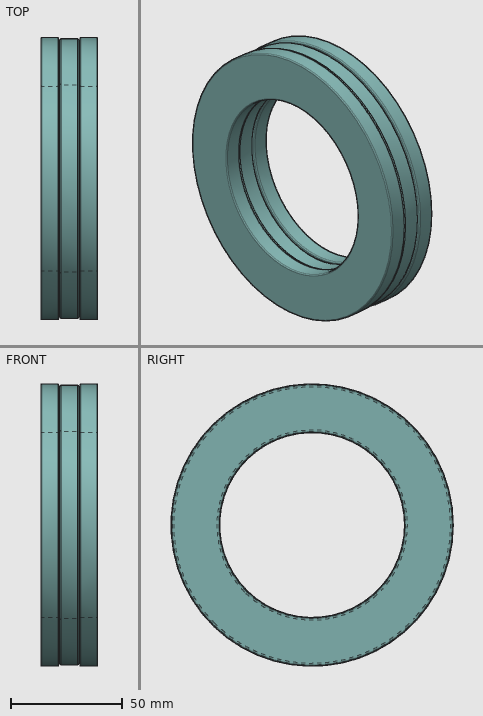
import cadquery as cq

bearing_width = 25.4
raceway_gap = 9.525
washer_width = (bearing_width - raceway_gap) / 2

washer_outer_diameter = 126.206
washer_bore = 82.55
washer_edge_radius = 0.508

cage_setback = 0.508
cage_outer_diameter = washer_outer_diameter - 2 * cage_setback
cage_bore = washer_bore + 2 * cage_setback
cage_clearance = 0.254
cage_width = raceway_gap - 2 * cage_clearance
cage_edge_chamfer = 0.762


def plain_ring(center_x, outer_diameter, bore, width):
    """Sharp-edged ring around the X axis, centred at center_x."""
    return (
        cq.Workplane("YZ", origin=(center_x - width / 2, 0, 0))
        .circle(outer_diameter / 2)
        .circle(bore / 2)
        .extrude(width)
    )


def make_washer(side):
    """Washer with rounded edges at the -X end (side = -1) or the +X end (side = 1)."""
    center_x = side * (bearing_width - washer_width) / 2
    ring = plain_ring(center_x, washer_outer_diameter, washer_bore, washer_width)
    return ring.edges("%CIRCLE").fillet(washer_edge_radius).solids()


def make_cage():
    """Cage ring with chamfered edges, centred between the washers."""
    ring = plain_ring(0, cage_outer_diameter, cage_bore, cage_width)
    return ring.edges("%CIRCLE").chamfer(cage_edge_chamfer).solids()


washers = [make_washer(side) for side in (-1, 1)]
cage = make_cage()

result = cq.Compound.makeCompound([*[washer.val() for washer in washers], cage.val()])